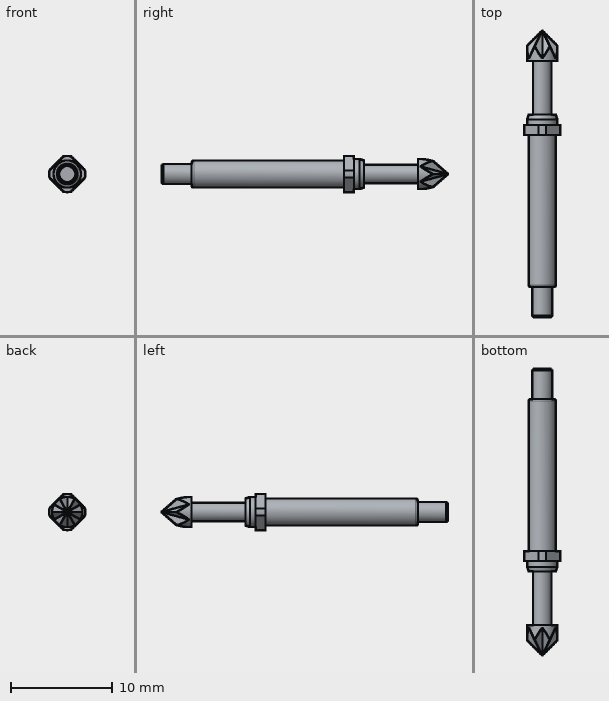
import cadquery as cq
import math


barrel_diameter = 2.7
barrel_length = 15.0
barrel_rounding = 0.22
tail_diameter = 2.0
tail_length = 3.0
tail_chamfer = 0.2

flange_thickness = 1.0
flange_across_flats = 3.0
flange_corner_diameter = 3.6

collar_diameter = 3.0
collar_length = 1.0
collar_nose_length = 0.45
collar_front_diameter = 2.7

plunger_diameter = 1.85
plunger_length = 5.3
head_diameter = 3.0
head_length = 3.0
point_count = 6
ridge_half_angle = 45.0
valley_half_angle = 28.9

collar_front_y = flange_thickness + collar_length
head_rear_y = collar_front_y + plunger_length
tip_y = head_rear_y + head_length


def rod(diameter, start_y, length):
    """Round rod on the Y axis running from start_y towards +Y."""
    plane = cq.Plane(origin=(0, start_y, 0), xDir=(1, 0, 0), normal=(0, 1, 0))
    return cq.Workplane(plane).circle(diameter / 2).extrude(length)


def make_barrel():
    return rod(barrel_diameter, -barrel_length, barrel_length).faces("<Y").fillet(barrel_rounding)


def make_tail():
    rear_y = -barrel_length - tail_length
    return rod(tail_diameter, rear_y, tail_length).faces("<Y").chamfer(tail_chamfer)


def make_flange():
    square = (
        cq.Workplane("XY")
        .box(flange_across_flats, flange_thickness, flange_across_flats, centered=(True, False, True))
        .rotate((0, 0, 0), (0, 1, 0), 45)
    )
    return square.intersect(rod(flange_corner_diameter, 0, flange_thickness))


def make_collar():
    """Collar turned about Y, tapering along its nose."""
    radius = collar_diameter / 2
    front_radius = collar_front_diameter / 2
    nose_start_y = collar_front_y - collar_nose_length
    return (
        cq.Workplane("XY")
        .moveTo(0, flange_thickness)
        .lineTo(radius, flange_thickness)
        .lineTo(radius, nose_start_y)
        .lineTo(front_radius, collar_front_y)
        .lineTo(0, collar_front_y)
        .close()
        .revolve(360, (0, 0, 0), (0, 1, 0))
    )


def make_star_pyramid():
    """Pyramid on a star base, its alternating ridges and valleys all starting at the tip."""
    ridge_radius = head_length * math.tan(math.radians(ridge_half_angle))
    valley_radius = head_length * math.tan(math.radians(valley_half_angle))
    corners = []
    for index in range(2 * point_count):
        radius = valley_radius if index % 2 else ridge_radius
        angle = math.pi * index / point_count
        corners.append(cq.Vector(radius * math.cos(angle), head_rear_y, radius * math.sin(angle)))
    tip = cq.Vector(0, tip_y, 0)
    faces = [cq.Face.makeFromWires(cq.Wire.makePolygon(corners, close=True))]
    for index, corner in enumerate(corners):
        side = cq.Wire.makePolygon([corners[index - 1], corner, tip], close=True)
        faces.append(cq.Face.makeFromWires(side))
    return cq.Workplane(cq.Solid.makeSolid(cq.Shell.makeShell(faces)))


def make_head():
    return rod(head_diameter, head_rear_y, head_length).intersect(make_star_pyramid())


plunger = rod(plunger_diameter, collar_front_y, plunger_length)

result = (
    make_barrel()
    .union(make_tail())
    .union(make_flange())
    .union(make_collar())
    .union(plunger)
    .union(make_head())
)